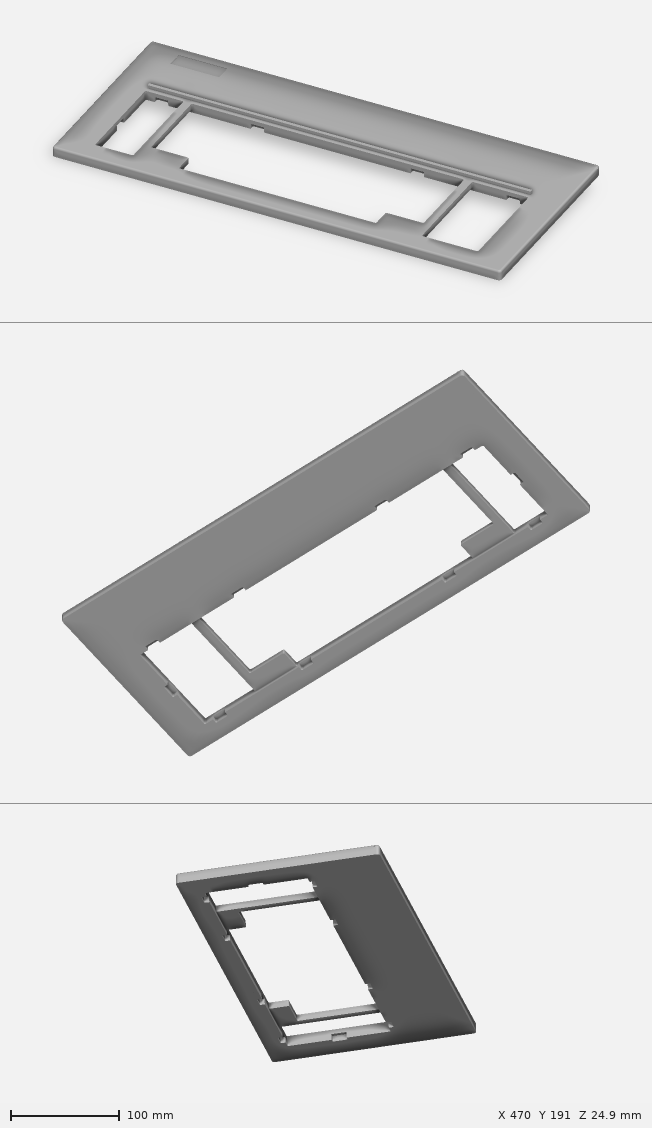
import cadquery as cq
import math

tilt_angle = 4.5
case_width = 469.5
case_depth = 191.0
plate_thickness = 10.0
corner_radius = 3.05
top_edge_radius = 2.1

field_width = 401.0
field_depth = 97.0
field_front = 20.5
field_back = field_front + field_depth
cutter_diameter = 2.5
cutter_radius = cutter_diameter / 2

divider_thickness = 6.0
left_opening_width = 40.0
right_opening_width = 58.8
bar_width = 8.5
tab_width = 39.5
tab_depth = 19.0

notch_width = 14.0
notch_height = 5.5
notch_depth = 4.5
notch_spacings = [167.5, 368.0]

rib_thickness = 3.5
rib_height = 3.8
rib_gap = 4.0

badge_width = 50.8
badge_depth = 15.5
badge_front = 166.0
badge_recess = 0.5

pin_diameter = 1.6
pin_length = 0.5
pin_y = 187.0
pin_drop = 1.5
pin_root = 4.5


def tilted(flat_feature):
    """Tilt a feature from the flat frame to its place on the case."""
    return flat_feature.rotate((0, 0, 0), (1, 0, 0), tilt_angle)


def block(x_left, y_front, z_bottom, width, depth, height):
    """Box placed by its left, front, bottom corner."""
    return cq.Workplane("XY").box(width, depth, height, centered=False).translate((x_left, y_front, z_bottom))


def body():
    """Tilted plate trimmed by upright faces, with rounded corners and top edge."""
    slab = tilted(block(-case_width, -case_depth, 0, 2 * case_width, 3 * case_depth, plate_thickness))
    outline = block(-case_width / 2, 0, -case_depth, case_width, case_depth, 2 * case_depth)
    outline = outline.edges("|Z").fillet(corner_radius)
    angle = math.radians(tilt_angle)
    plate_normal = cq.Vector(0, -math.sin(angle), math.cos(angle))
    top_face = cq.selectors.DirectionMinMaxSelector(plate_normal)
    return slab.intersect(outline).faces(top_face).edges().fillet(top_edge_radius)


def field_pocket():
    """Pocket over the whole key field that leaves the divider thickness at the top."""
    pocket_depth = plate_thickness - divider_thickness
    pocket = block(-field_width / 2, field_front, 0, field_width, field_depth, pocket_depth)
    return pocket.edges("|Z").fillet(cutter_radius)


def openings():
    """Three openings through the plate; the middle one narrows between two tabs at its front."""
    left = block(-field_width / 2, field_front, 0, left_opening_width, field_depth, plate_thickness)
    right_x = field_width / 2 - right_opening_width
    right = block(right_x, field_front, 0, right_opening_width, field_depth, plate_thickness)

    middle_x = -field_width / 2 + left_opening_width + bar_width
    middle_width = right_x - bar_width - middle_x
    middle = block(
        middle_x, field_front + tab_depth, 0, middle_width, field_depth - tab_depth, plate_thickness
    )
    between_tabs = block(
        middle_x + tab_width, field_front, 0, middle_width - 2 * tab_width, field_depth, plate_thickness
    )
    rounded_middle = middle.union(between_tabs).edges("|Z").fillet(cutter_radius)
    rounded_sides = left.union(right).edges("|Z").fillet(cutter_radius)
    return rounded_middle.union(rounded_sides)


def notch(x, y, size_x, size_y):
    """Notch cutter with rounded upright corners, centred on (x, y)."""
    cutter = block(x - size_x / 2, y - size_y / 2, 0, size_x, size_y, notch_height)
    return cutter.edges("|Z").fillet(cutter_radius)


def notches():
    """Four notches in the front and the back wall, and one half way along each side wall."""
    field_middle = field_front + field_depth / 2
    cutters = cq.Workplane("XY")
    for x in (-field_width / 2, field_width / 2):
        cutters = cutters.add(notch(x, field_middle, 2 * notch_depth, notch_width))
    for spacing in notch_spacings:
        for x in (-spacing / 2, spacing / 2):
            for y in (field_front, field_back):
                cutters = cutters.add(notch(x, y, notch_width, 2 * notch_depth))
    return cutters.combine()


def rib():
    return block(-field_width / 2, field_back + rib_gap, plate_thickness, field_width, rib_thickness, rib_height)


def badge():
    badge_floor = plate_thickness - badge_recess
    return block(-field_width / 2, badge_front, badge_floor, badge_width, badge_depth, badge_recess)


def side_pin():
    return (
        cq.Workplane("YZ", origin=(case_width / 2 - pin_root, pin_y, plate_thickness - pin_drop))
        .circle(pin_diameter / 2)
        .extrude(pin_root + pin_length)
    )


result = body()
for cutter in (field_pocket(), openings(), notches(), badge()):
    result = result.cut(tilted(cutter))
for addition in (rib(), side_pin()):
    result = result.union(tilted(addition))